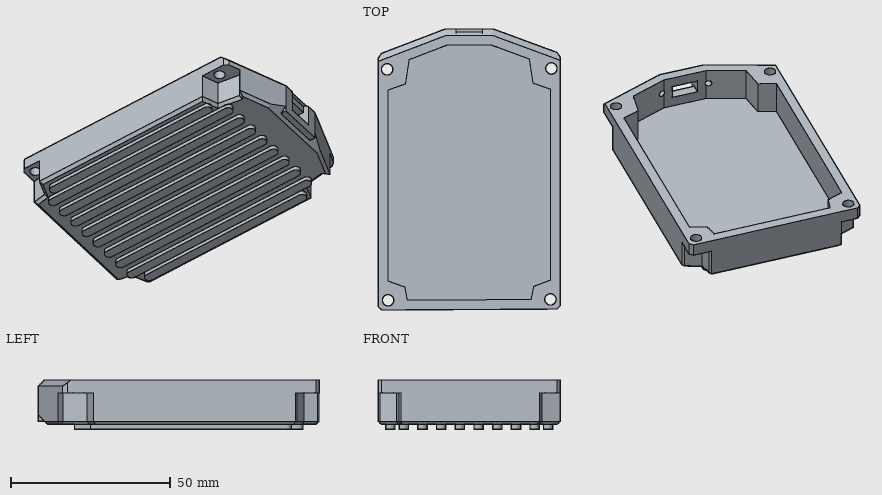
import cadquery as cq
import math


width = 57.14
half_width = width / 2
height = 14.0
flange_thickness = 4.1
flange_underside = height - flange_thickness
skew = 0.0053

front_y = -43.93
crest_y = 44.08
crest_half_width = 7.6
shoulder_y = 36.2
corner_bevel = 1.1
crest_top_chamfer = 2.0
crest_bottom_chamfer = 3.0
bottom_chamfer = 1.0

floor_thickness = 3.0
wall = 3.1
pocket_half_width = half_width - wall

pocket_half = [
    (19.4, -40.85),
    (20.2, -36.75),
    (pocket_half_width, -34.8),
    (pocket_half_width, 25.05),
    (20.0, 26.95),
    (18.85, 34.55),
    (7.0, 39.0),
]

clear = 60.0
front_notch_mouth_y = -37.0
front_notch_mouth_x = 22.0
front_notch_corner = (22.85, -39.2)
rear_notch = [
    (clear, 26.95),
    (half_width, 26.95),
    (23.1, 28.9),
    (21.95, 36.45),
    (23.75, 38.05),
    (clear, clear),
]
left_mouth_bevel = 0.6

screw_hole_diameter = 3.5
screw_holes = [(25.75, 31.55), (25.45, -40.85)]

opening_width = 8.4
opening_z = 8.5
window_height = 4.2
recess_height = 9.0
recess_depth = 2.0

board_hole_diameter = 2.0
board_hole_x = 7.75
board_hole_z = 9.0
board_hole_end_y = 42.0

rib_width = 3.0
rib_height = 1.5
inner_rib_pitch = 5.86
inner_rib_count = 8
inner_rib_y = (-39.0, 32.7)
outer_rib_x = 24.75
outer_rib_y = (-35.3, 27.6)


def skewed(points):
    """Shift points in Y in proportion to X; points within the crest's width stay put, keeping it level."""
    return [(x, y + skew * x) if abs(x) > crest_half_width else (x, y) for x, y in points]


def mirrored(points):
    """Mirror points across X = 0."""
    return [(-x, y) for x, y in points]


def prism(points, z_low, z_high):
    """Upright prism over a skewed outline."""
    return cq.Workplane("XY").workplane(offset=z_low).polyline(skewed(points)).close().extrude(z_high - z_low)


def box(x_range, y_range, z_range):
    """Axis-aligned box from its three ranges."""
    sizes = [high - low for low, high in (x_range, y_range, z_range)]
    return cq.Workplane("XY").box(*sizes, centered=False).translate((x_range[0], y_range[0], z_range[0]))


def symmetric_outline(half):
    """Closed outline from its right half, listed front to rear."""
    return half + mirrored(half)[::-1]


def front_notch(mouth_bevel=0.0):
    """Outline of a front notch on the right-hand side, with optional bevels at its two mouths."""
    points = [(clear, front_notch_mouth_y + mouth_bevel), (half_width, front_notch_mouth_y + mouth_bevel)]
    if mouth_bevel:
        points.append((half_width - mouth_bevel, front_notch_mouth_y))
    points.append(front_notch_corner)
    if mouth_bevel:
        points.append((front_notch_mouth_x, front_y + mouth_bevel))
    points += [(front_notch_mouth_x - mouth_bevel, front_y), (front_notch_mouth_x - mouth_bevel, -clear)]
    return points + [(clear, -clear)]


def front_corner_cut():
    """Triangle that bevels the front right-hand corner."""
    return [
        (half_width - corner_bevel, front_y),
        (half_width + corner_bevel, front_y - corner_bevel),
        (half_width, front_y + corner_bevel),
    ]


def rear_corner_cut():
    """Outline that bevels the shoulder equally along the side and along the rear slope."""
    slope_angle = math.atan2(crest_y - shoulder_y, half_width - crest_half_width)
    bevel_x = half_width - corner_bevel * math.cos(slope_angle)
    bevel_y = shoulder_y + corner_bevel * math.sin(slope_angle)
    side_y = shoulder_y - corner_bevel
    return [(half_width, side_y), (bevel_x, bevel_y), (bevel_x, clear), (clear, clear), (clear, side_y)]


def make_shell():
    """Solid outer block with its rear top edges and upright side corners bevelled."""
    half = [(half_width, front_y), (half_width, shoulder_y), (crest_half_width, crest_y)]
    shell = prism(symmetric_outline(half), 0, height)
    rear_edges = cq.selectors.BoxSelector((-clear, 0, height - 1), (clear, clear, height + 1))
    shell = shell.faces(">Z").edges(rear_edges).edges("not(|Y)").chamfer(crest_top_chamfer)
    for outline in (front_corner_cut(), rear_corner_cut()):
        shell = shell.cut(prism(outline, 0, height)).cut(prism(mirrored(outline), 0, height))
    return shell


def cut_notches(body):
    """Cut the four screw notches below the flange, then bevel the bottom rim."""
    outlines = [front_notch(), mirrored(front_notch(left_mouth_bevel)), rear_notch, mirrored(rear_notch)]
    for outline in outlines:
        body = body.cut(prism(outline, 0, flange_underside))
    return body.faces("<Z").edges().chamfer(bottom_chamfer)


def bevel_crest_bottom(body):
    """Slice the underside of the crest at 45 degrees and add the lug below it."""
    lip_y = crest_y - crest_bottom_chamfer
    profile = [(lip_y, 0), (crest_y, crest_bottom_chamfer), (clear, crest_bottom_chamfer), (clear, 0)]
    wedge = cq.Workplane("YZ").polyline(profile).close().extrude(half_width, both=True)
    lug = box((-crest_half_width, crest_half_width), (lip_y, crest_y), (bottom_chamfer, crest_bottom_chamfer))
    return body.cut(wedge).union(lug)


def cut_screw_holes(body):
    """Drill the four screw holes through the flange corners."""
    holes = screw_holes + mirrored(screw_holes)
    return body.cut(
        cq.Workplane("XY").pushPoints(skewed(holes)).circle(screw_hole_diameter / 2).extrude(height))


def cut_connector_opening(body):
    """Window through the rear wall, a taller recess outside it, and a blind hole on each side."""
    half_opening = opening_width / 2
    x_range = (-half_opening, half_opening)
    window = box(x_range, (0, clear), (opening_z - window_height / 2, opening_z + window_height / 2))
    recess_z = (opening_z - recess_height / 2, opening_z + recess_height / 2)
    recess = box(x_range, (crest_y - recess_depth, clear), recess_z)
    board_holes = (
        cq.Workplane("XZ")
        .pushPoints([(-board_hole_x, board_hole_z), (board_hole_x, board_hole_z)])
        .circle(board_hole_diameter / 2)
        .extrude(-board_hole_end_y)
    )
    return body.cut(window).cut(recess).cut(board_holes)


def rib(x, y_range):
    """Round-ended rib along Y below the bottom face."""
    y_start, y_end = y_range
    plan = cq.Workplane("XY").center(x, (y_start + y_end) / 2).slot2D(y_end - y_start, rib_width, 90)
    return plan.extrude(-rib_height)


def add_ribs(body):
    """Add the evenly spaced inner ribs and the shorter outer pair."""
    first_x = -inner_rib_pitch * (inner_rib_count - 1) / 2
    for index in range(inner_rib_count):
        body = body.union(rib(first_x + index * inner_rib_pitch, inner_rib_y))
    for x in (-outer_rib_x, outer_rib_x):
        body = body.union(rib(x, outer_rib_y))
    return body


body = cut_notches(make_shell())
body = bevel_crest_bottom(body)
body = body.cut(prism(symmetric_outline(pocket_half), floor_thickness, height))
body = cut_screw_holes(body)
body = cut_connector_opening(body)
result = add_ribs(body)